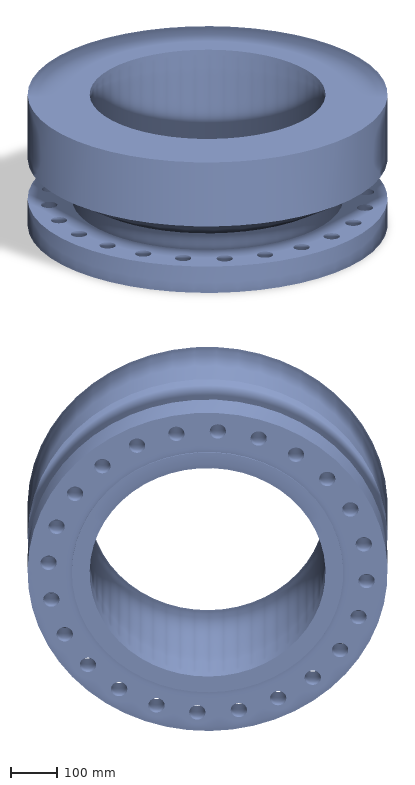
import cadquery as cq
import math

outer_diameter = 774.5
bore_diameter = 507.0
neck_diameter = 584.0
total_height = 305.0
raised_face_height = 2.0
flange_thickness = 61.0
neck_top = 101.5
cone_angle = 30.0

bolt_count = 24
bolt_circle_diameter = 685.5
bolt_hole_diameter = 35.0

outer_radius = outer_diameter / 2
bore_radius = bore_diameter / 2
neck_radius = neck_diameter / 2
flange_top = raised_face_height + flange_thickness
cone_height = (outer_radius - neck_radius) * math.tan(math.radians(cone_angle))
drum_bottom = neck_top + cone_height


def make_body():
    """Revolve the ring: raised face, flange, neck, cone and drum around the bore."""
    profile = [
        (bore_radius, 0),
        (neck_radius, 0),
        (neck_radius, raised_face_height),
        (outer_radius, raised_face_height),
        (outer_radius, flange_top),
        (neck_radius, flange_top),
        (neck_radius, neck_top),
        (outer_radius, drum_bottom),
        (outer_radius, total_height),
        (bore_radius, total_height),
    ]
    return cq.Workplane("XZ").polyline(profile).close().revolve(360, (0, 0), (0, 1))


def make_bolt_holes():
    """Cylinders that pass through the flange only, the first one on the X axis."""
    return (
        cq.Workplane("XY")
        .workplane(offset=raised_face_height)
        .polarArray(bolt_circle_diameter / 2, 0, 360, bolt_count)
        .circle(bolt_hole_diameter / 2)
        .extrude(flange_thickness)
    )


result = make_body().cut(make_bolt_holes())